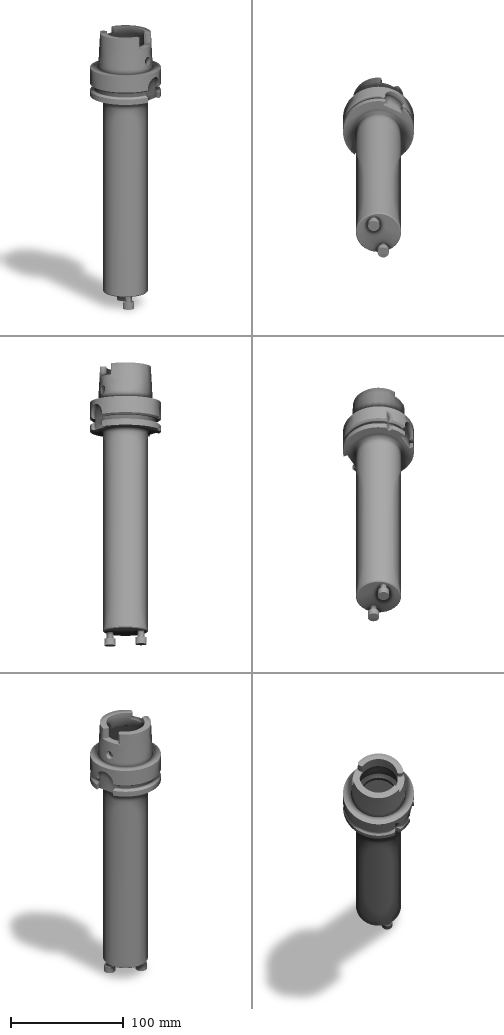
import cadquery as cq
import math

taper_height = 32.0
overall_length = 250.9
bottom_z = taper_height - overall_length

taper_base_radius = 48.6 / 2
taper_top_radius = 45.4 / 2

flange_radius = 62.94 / 2
flange_thickness = 26.0
groove_root_radius = 55.3 / 2
groove_wall_radius = 29.5
groove_center_z = -17.9
groove_root_width = 3.75
groove_mouth_width = 6.4

body_radius = 40.0 / 2
neck_fillet = 2.5
body_chamfer = 0.8

mouth_radius = 34.05 / 2
mouth_depth = 13.0
cavity_radius = 40.0 / 2
shoulder_angle = 60.0
cavity_depth = 32.0
pocket_radius = 31.6 / 2
pocket_depth = 36.0

drive_slot_width = 12.5
left_slot_depth = 6.0
right_slot_depth = 10.0
slot_mouth_round = 3.4
slot_flare_end_x = 20.75
left_slot_floor_fillet = 1.5

cross_hole_diameter = 7.5
cross_hole_z = 9.3

left_keyway_width = 16.0
right_keyway_width = 18.0
keyway_floor_x = 26.5
keyway_top_z = -4.5

notch_width = 14.0
notch_side_y = 20.0
notch_floor_x = 20.0
notch_top_z = keyway_top_z

screw_offset = 10.0
screw_head_radius = 10.0 / 2
screw_head_height = 6.0
screw_shaft_radius = 6.0 / 2
screw_stick_out = 11.9
body_end_z = bottom_z + screw_stick_out


def quarter_arc_offset(radius):
    """Distance from the midpoint of a quarter arc to either of its end tangents."""
    return radius * (1 - math.sqrt(0.5))


def make_turned_body():
    root_half = groove_root_width / 2
    mouth_half = groove_mouth_width / 2
    neck_radius = body_radius + neck_fillet
    arc_offset = quarter_arc_offset(neck_fillet)
    return (
        cq.Workplane("XZ")
        .moveTo(0, body_end_z)
        .lineTo(body_radius - body_chamfer, body_end_z)
        .lineTo(body_radius, body_end_z + body_chamfer)
        .lineTo(body_radius, -flange_thickness - neck_fillet)
        .threePointArc(
            (body_radius + arc_offset, -flange_thickness - arc_offset),
            (neck_radius, -flange_thickness),
        )
        .lineTo(flange_radius, -flange_thickness)
        .lineTo(flange_radius, groove_center_z - mouth_half)
        .lineTo(groove_wall_radius, groove_center_z - root_half)
        .lineTo(groove_root_radius, groove_center_z - root_half)
        .lineTo(groove_root_radius, groove_center_z + root_half)
        .lineTo(groove_wall_radius, groove_center_z + root_half)
        .lineTo(flange_radius, groove_center_z + mouth_half)
        .lineTo(flange_radius, 0)
        .lineTo(taper_base_radius, 0)
        .lineTo(taper_top_radius, taper_height)
        .lineTo(0, taper_height)
        .close()
        .revolve(360, (0, 0, 0), (0, 1, 0))
    )


def make_cavity():
    mouth_z = taper_height - mouth_depth
    shoulder_height = (cavity_radius - mouth_radius) / math.tan(math.radians(shoulder_angle))
    floor_z = taper_height - cavity_depth
    pocket_z = taper_height - pocket_depth
    return (
        cq.Workplane("XZ")
        .moveTo(0, pocket_z)
        .lineTo(pocket_radius, pocket_z)
        .lineTo(pocket_radius, floor_z)
        .lineTo(cavity_radius, floor_z)
        .lineTo(cavity_radius, mouth_z - shoulder_height)
        .lineTo(mouth_radius, mouth_z)
        .lineTo(mouth_radius, taper_height)
        .lineTo(0, taper_height)
        .close()
        .revolve(360, (0, 0, 0), (0, 1, 0))
    )


def make_drive_slot(side, depth, floor_fillet=0):
    """Slot on one side (-1 or +1 along X) whose side walls flare outward in an arc."""
    half = drive_slot_width / 2
    flare_start_x = slot_flare_end_x - slot_mouth_round
    arc_offset = quarter_arc_offset(slot_mouth_round)
    outer_half = half + slot_mouth_round
    outer_x = taper_base_radius
    slot = (
        cq.Workplane("XY", origin=(0, 0, taper_height - depth))
        .moveTo(0, -half)
        .lineTo(flare_start_x, -half)
        .threePointArc((slot_flare_end_x - arc_offset, -half - arc_offset), (slot_flare_end_x, -outer_half))
        .lineTo(outer_x, -outer_half)
        .lineTo(outer_x, outer_half)
        .lineTo(slot_flare_end_x, outer_half)
        .threePointArc((slot_flare_end_x - arc_offset, half + arc_offset), (flare_start_x, half))
        .lineTo(0, half)
        .close()
        .extrude(depth)
    )
    if floor_fillet > 0:
        slot = slot.faces("<Z").edges().fillet(floor_fillet)
    return slot if side > 0 else slot.mirror("YZ")


def make_cross_hole():
    return (
        cq.Workplane("YZ", origin=(-flange_radius, 0, cross_hole_z))
        .circle(cross_hole_diameter / 2)
        .extrude(2 * flange_radius)
    )


def make_keyway(side, width):
    half = width / 2
    cut_depth = flange_radius - keyway_floor_x
    keyway = (
        cq.Workplane("YZ", origin=(keyway_floor_x, 0, 0))
        .moveTo(-half, -flange_thickness)
        .lineTo(half, -flange_thickness)
        .lineTo(half, keyway_top_z - half)
        .threePointArc((0, keyway_top_z), (-half, keyway_top_z - half))
        .close()
        .extrude(cut_depth)
    )
    return keyway if side > 0 else keyway.mirror("YZ")


def make_orientation_notch():
    """Round-topped notch cut along X into the (-X, +Y) corner of the flange."""
    half = notch_width / 2
    inner_y = notch_side_y
    outer_y = inner_y + notch_width
    shoulder_z = notch_top_z - half
    return (
        cq.Workplane("YZ", origin=(-flange_radius, 0, 0))
        .moveTo(inner_y, -flange_thickness)
        .lineTo(outer_y, -flange_thickness)
        .lineTo(outer_y, shoulder_z)
        .threePointArc((inner_y + half, notch_top_z), (inner_y, shoulder_z))
        .close()
        .extrude(flange_radius - notch_floor_x)
    )


def make_screw(x, y):
    head = (
        cq.Workplane("XY", origin=(x, y, bottom_z))
        .circle(screw_head_radius)
        .extrude(screw_head_height)
    )
    shaft = (
        cq.Workplane("XY", origin=(x, y, bottom_z))
        .circle(screw_shaft_radius)
        .extrude(screw_stick_out + body_chamfer)
    )
    return head.union(shaft)


result = make_turned_body().cut(make_cavity())
result = result.cut(make_drive_slot(-1, left_slot_depth, left_slot_floor_fillet))
result = result.cut(make_drive_slot(1, right_slot_depth))
result = result.cut(make_cross_hole())
result = result.cut(make_keyway(-1, left_keyway_width))
result = result.cut(make_keyway(1, right_keyway_width))
result = result.cut(make_orientation_notch())
for direction in (-1, 1):
    result = result.union(make_screw(direction * screw_offset, -direction * screw_offset))